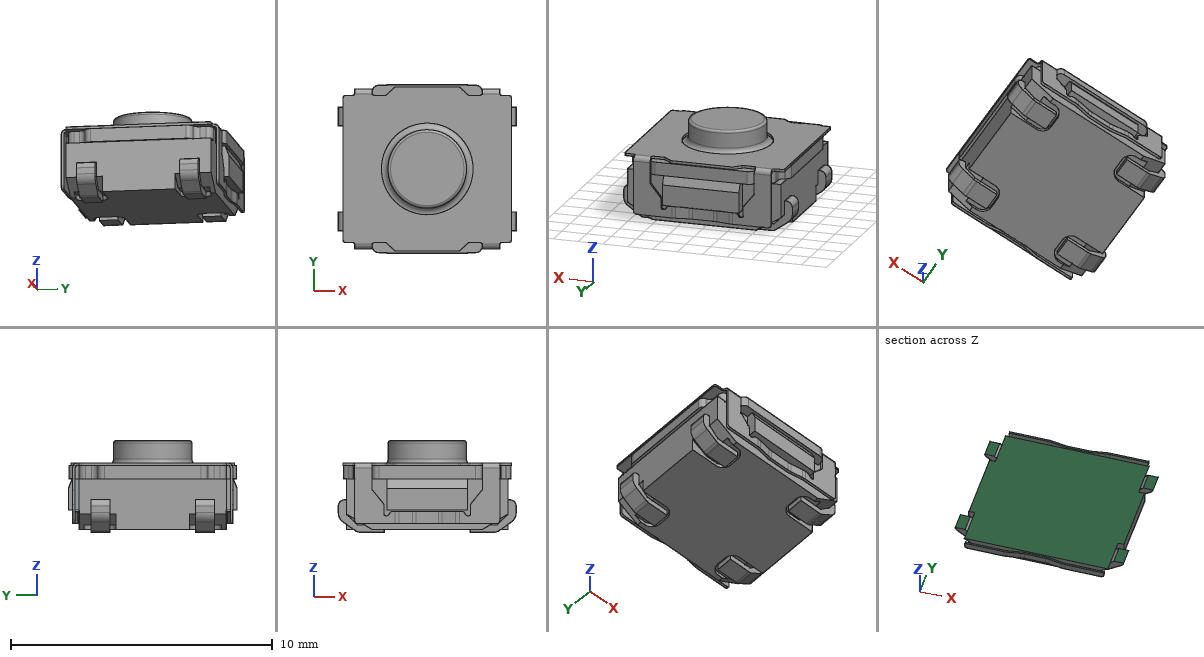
import cadquery as cq
import math

PICK_MARGIN = 0.01
PICK_REACH = 10

TOTAL_WIDTH_X = 6.8
TOTAL_WIDTH_Y = 6.45
TOTAL_HEIGHT = 3.5

BODY_BOTTOM = 0.1
BODY_TOP = 2.04
COVER_TOP = 2.65
SHEET = 0.1
COVER_BOTTOM = COVER_TOP - SHEET

BODY_HALF_X = 3.09
BODY_HALF_Y = 2.81

CORE_HALF_X = 2.81
CORE_ROUND = 0.25
ARM_REACH_X = 3.2
ARM_X_TIP_HALF_WIDTH = 2.035
ARM_X_ROOT_HALF_WIDTH = 2.155
ARM_REACH_Y = 3.2
ARM_Y_HALF_WIDTH = 2.1
ARM_ROUND = 0.25

BOSS_HALF_X = 1.54
BOSS_REACH_Y = TOTAL_WIDTH_Y / 2
BOSS_ROOT_Y = 3.08
BOSS_BOTTOM = 0.85
BOSS_SLOPE_BOTTOM = 1.67

COVER_HALF_X = 3.217
COVER_HALF_Y = BODY_HALF_Y
TAB_ROOT_HALF_X = 1.58
TAB_TIP_HALF_X = 1.235
TAB_REACH_Y = 3.126
COVER_ROUND = 0.09

LEG_OUTER_Y = 3.06
LEG_OUTER_X = 2.77
LEG_INNER_X = ARM_Y_HALF_WIDTH
LEG_BOTTOM = 0.33
LEG_CORNER_ROUND = 0.13
BEND_RADIUS = 2 * SHEET
TAPER_TOP = 1.62
TAPER_BOTTOM = 1.07
FOOT_INNER_X = 1.65
CROSSBAR_TOP = 0.785
CROSSBAR_END_X = 1.4
NOTCH_BOTTOM = 0.63
NOTCH_FLOOR_X = 1.5
NOTCH_ROUND = 0.07
JOG_START_X = 1.15
JOG_END_X = 0.497
JOG_DEPTH = 0.107
JOG_ROUND = 0.9

TERMINAL_REACH_X = TOTAL_WIDTH_X / 2
TERMINAL_TOP = 1.245
TERMINAL_TOP_ROUND = 0.25
TERMINAL_KNEE_Z = 0.52
TERMINAL_KNEE_ROUND = 0.45
TERMINAL_FOOT_ROUND = 0.25
TERMINAL_FOOT_X = 2.66
TERMINAL_END_X = 1.634
TERMINAL_WIDTH = 0.72
TERMINAL_Y = 2.0

UNDERCUT_INNER_Y = 1.408
UNDERCUT_TOP_Z = 0.7
UNDERCUT_END_X = ARM_Y_HALF_WIDTH
RECESS_CEILING = 0.28
RECESS_OUTER_Y = 2.62
RECESS_END_X = 1.5
RECESS_ROUND = 0.4

BUTTON_DIAMETER = 3.0
OPENING_DIAMETER = 3.5
BUTTON_RADIUS = BUTTON_DIAMETER / 2
BUTTON_ROUND = 0.1
OPENING_RADIUS = OPENING_DIAMETER / 2
FLARE_RADIUS = OPENING_RADIUS - BUTTON_RADIUS


def box(half_x, half_y, bottom, top):
    """Block centred on the Z axis between two heights."""
    block = cq.Workplane("XY").box(2 * half_x, 2 * half_y, top - bottom, centered=(True, True, False))
    return block.translate((0, 0, bottom))


def with_mirror(shape, plane):
    """The shape together with its reflection in a plane through the origin."""
    return shape.union(shape.mirror(plane))


def on_four_corners(shape):
    return with_mirror(with_mirror(shape, "YZ"), "XZ")


def symmetric(right_half):
    """Close an outline by adding the reflection of its +X half."""
    return right_half + [(-x, z) for x, z in reversed(right_half)]


def edge_near(shape, corner, normal):
    """The edge along `normal` that passes the given corner of an extruded outline."""
    low = [value - PICK_MARGIN for value in corner]
    high = [value + PICK_MARGIN for value in corner]
    if normal == "Z":
        selector = cq.selectors.BoxSelector((*low, -PICK_REACH), (*high, PICK_REACH))
    else:
        selector = cq.selectors.BoxSelector((low[0], -PICK_REACH, low[1]), (high[0], PICK_REACH, high[1]))
    return shape.edges(f"|{normal}").edges(selector)


def round_four(shape, x, y, radius):
    """Round the upright edges at the four positions (+-x, +-y)."""
    for corner in ((x, y), (-x, y), (x, -y), (-x, -y)):
        shape = edge_near(shape, corner, "Z").fillet(radius)
    return shape


def make_undercut():
    """Sloping undercut and shallow foot recess at the +X +Y corner."""
    slope = (
        cq.Workplane("XZ", origin=(0, BODY_HALF_Y, 0))
        .polyline([
            (UNDERCUT_END_X, BODY_BOTTOM),
            (BODY_HALF_X, BODY_BOTTOM),
            (BODY_HALF_X, UNDERCUT_TOP_Z),
        ])
        .close()
        .extrude(BODY_HALF_Y - UNDERCUT_INNER_Y)
    )
    recess = (
        cq.Workplane("XY", origin=(0, 0, BODY_BOTTOM))
        .moveTo(RECESS_END_X, UNDERCUT_INNER_Y)
        .lineTo(BODY_HALF_X, UNDERCUT_INNER_Y)
        .lineTo(BODY_HALF_X, RECESS_OUTER_Y)
        .lineTo(RECESS_END_X, RECESS_OUTER_Y)
        .close()
        .extrude(RECESS_CEILING - BODY_BOTTOM)
        .edges("|Z and <X")
        .fillet(RECESS_ROUND)
    )
    return slope.union(recess)


def make_boss():
    """Boss on the +Y side with a sloping upper face."""
    return (
        cq.Workplane("YZ", origin=(-BOSS_HALF_X, 0, 0))
        .polyline([
            (0, BOSS_BOTTOM),
            (BOSS_REACH_Y, BOSS_BOTTOM),
            (BOSS_REACH_Y, BOSS_SLOPE_BOTTOM),
            (BOSS_ROOT_Y, BODY_TOP),
            (0, BODY_TOP),
        ])
        .close()
        .extrude(2 * BOSS_HALF_X)
    )


def make_body():
    body = box(BODY_HALF_X, BODY_HALF_Y, BODY_BOTTOM, BODY_TOP)
    body = body.cut(on_four_corners(make_undercut()))
    return body.union(with_mirror(make_boss(), "XZ"))


def make_frame():
    """Upper frame with rounded arms; the X arms taper and blend into the core."""
    arm_tip = (ARM_REACH_X, ARM_X_TIP_HALF_WIDTH)
    arm_root = (CORE_HALF_X, ARM_X_ROOT_HALF_WIDTH)
    core_corner = (CORE_HALF_X, BODY_HALF_Y)
    right_half = [(x, -y) for x, y in (core_corner, arm_root, arm_tip)] + [arm_tip, arm_root, core_corner]
    frame = (
        cq.Workplane("XY", origin=(0, 0, BODY_TOP))
        .polyline(symmetric(right_half))
        .close()
        .extrude(COVER_BOTTOM - BODY_TOP)
    )
    frame = frame.union(box(ARM_Y_HALF_WIDTH, ARM_REACH_Y, BODY_TOP, COVER_BOTTOM))
    frame = round_four(frame, *core_corner, CORE_ROUND)
    for x, y in (arm_tip, arm_root, (ARM_Y_HALF_WIDTH, ARM_REACH_Y)):
        frame = round_four(frame, x, y, ARM_ROUND)
    return frame


def make_cover_plate():
    """Flat top of the cover with a tapered tab on the +Y and -Y sides and a round opening."""
    tab = [(TAB_ROOT_HALF_X, COVER_HALF_Y), (TAB_TIP_HALF_X, TAB_REACH_Y)]
    tab_outline = symmetric([(TAB_ROOT_HALF_X, 0)] + tab)
    tab_solid = cq.Workplane("XY", origin=(0, 0, COVER_BOTTOM)).polyline(tab_outline).close().extrude(SHEET)
    plate = box(COVER_HALF_X, COVER_HALF_Y, COVER_BOTTOM, COVER_TOP)
    plate = plate.union(with_mirror(tab_solid, "XZ"))
    for x, y in [(COVER_HALF_X, COVER_HALF_Y)] + tab:
        plate = round_four(plate, x, y, COVER_ROUND)
    opening = cq.Workplane("XY").circle(OPENING_RADIUS).extrude(COVER_TOP)
    return plate.cut(opening)


def make_leg_bend():
    """Quarter-round bend joining the +X +Y leg to the cover plate, flared where it meets the plate."""
    bend_start_y = LEG_OUTER_Y - BEND_RADIUS
    bend_end_z = COVER_TOP - BEND_RADIUS
    inner_radius = BEND_RADIUS - SHEET
    diagonal = math.sqrt(0.5)

    def on_arc(radius):
        return (bend_start_y + radius * diagonal, bend_end_z + radius * diagonal)

    plate_edge_y = COVER_HALF_Y - COVER_ROUND
    bent_sheet = (
        cq.Workplane("YZ", origin=(LEG_INNER_X - COVER_ROUND, 0, 0))
        .moveTo(plate_edge_y, COVER_TOP)
        .lineTo(bend_start_y, COVER_TOP)
        .threePointArc(on_arc(BEND_RADIUS), (LEG_OUTER_Y, bend_end_z))
        .lineTo(LEG_OUTER_Y - SHEET, bend_end_z)
        .threePointArc(on_arc(inner_radius), (bend_start_y, COVER_BOTTOM))
        .lineTo(plate_edge_y, COVER_BOTTOM)
        .close()
        .extrude(LEG_OUTER_X - LEG_INNER_X + 2 * COVER_ROUND)
    )
    plate_strip = box(COVER_HALF_X, COVER_HALF_Y, bend_end_z, COVER_TOP)
    leg_strip = (
        cq.Workplane("XY", origin=(0, 0, bend_end_z))
        .moveTo(LEG_INNER_X, 0)
        .lineTo(LEG_OUTER_X, 0)
        .lineTo(LEG_OUTER_X, LEG_OUTER_Y)
        .lineTo(LEG_INNER_X, LEG_OUTER_Y)
        .close()
        .extrude(BEND_RADIUS)
    )
    flared_plan = plate_strip.union(leg_strip)
    for x in (LEG_INNER_X, LEG_OUTER_X):
        flared_plan = edge_near(flared_plan, (x, COVER_HALF_Y), "Z").fillet(COVER_ROUND)
    return bent_sheet.intersect(flared_plan)


def make_jogged_sheet():
    """Upright sheet on the +Y side whose middle is set back behind the boss face."""
    outer = symmetric([
        (LEG_OUTER_X, LEG_OUTER_Y),
        (JOG_START_X, LEG_OUTER_Y),
        (JOG_END_X, LEG_OUTER_Y - JOG_DEPTH),
    ])
    inner = [(x, y - SHEET) for x, y in reversed(outer)]
    sheet = (
        cq.Workplane("XY", origin=(0, 0, LEG_BOTTOM))
        .polyline(outer + inner)
        .close()
        .extrude(COVER_TOP - BEND_RADIUS - LEG_BOTTOM)
    )
    for corner in outer[1:-1] + inner[1:-1]:
        sheet = edge_near(sheet, corner, "Z").fillet(JOG_ROUND)
    return sheet


def make_leg_pair():
    """Two legs and their crossbar on the +Y side."""
    notch = [
        (FOOT_INNER_X, NOTCH_BOTTOM),
        (NOTCH_FLOOR_X, NOTCH_BOTTOM),
        (CROSSBAR_END_X, CROSSBAR_TOP),
    ]
    outline = symmetric([
        (LEG_OUTER_X, LEG_BOTTOM),
        (LEG_OUTER_X, COVER_TOP - BEND_RADIUS),
        (LEG_INNER_X, COVER_TOP - BEND_RADIUS),
        (LEG_INNER_X, TAPER_TOP),
        (FOOT_INNER_X, TAPER_BOTTOM),
    ] + notch)
    silhouette = cq.Workplane("XZ").polyline(outline).close().extrude(-2 * LEG_OUTER_Y)
    rounds = [(LEG_OUTER_X, LEG_BOTTOM, LEG_CORNER_ROUND)]
    rounds += [(x, z, NOTCH_ROUND) for x, z in notch]
    for x, z, radius in rounds:
        for corner in ((x, z), (-x, z)):
            silhouette = edge_near(silhouette, corner, "Y").fillet(radius)
    return make_jogged_sheet().intersect(silhouette)


def make_cover():
    cover = make_cover_plate()
    cover = cover.union(on_four_corners(make_leg_bend()))
    return cover.union(with_mirror(make_leg_pair(), "XZ"))


def make_terminal():
    """Bent terminal at the +X +Y corner, ending in a flat foot."""
    terminal = (
        cq.Workplane("XZ", origin=(0, TERMINAL_Y + TERMINAL_WIDTH / 2, 0))
        .polyline([
            (TERMINAL_END_X, 0),
            (TERMINAL_FOOT_X, 0),
            (TERMINAL_REACH_X, TERMINAL_KNEE_Z),
            (TERMINAL_REACH_X, TERMINAL_TOP),
            (BODY_HALF_X, TERMINAL_TOP),
            (BODY_HALF_X, UNDERCUT_TOP_Z),
            (TERMINAL_FOOT_X, RECESS_CEILING),
            (TERMINAL_END_X, RECESS_CEILING),
        ])
        .close()
        .extrude(TERMINAL_WIDTH)
    )
    for x, z, radius in (
        (TERMINAL_REACH_X, TERMINAL_TOP, TERMINAL_TOP_ROUND),
        (TERMINAL_REACH_X, TERMINAL_KNEE_Z, TERMINAL_KNEE_ROUND),
        (TERMINAL_FOOT_X, 0, TERMINAL_FOOT_ROUND),
    ):
        terminal = edge_near(terminal, (x, z), "Y").fillet(radius)
    return terminal


def make_button():
    """Round button with a concave flare at its root, on top of the frame."""
    flare_center_x = OPENING_RADIUS
    flare_center_z = COVER_BOTTOM + FLARE_RADIUS
    diagonal = FLARE_RADIUS * math.sqrt(0.5)
    button = (
        cq.Workplane("XZ")
        .moveTo(0, BODY_TOP)
        .lineTo(flare_center_x, BODY_TOP)
        .lineTo(flare_center_x, COVER_BOTTOM)
        .threePointArc(
            (flare_center_x - diagonal, flare_center_z - diagonal),
            (BUTTON_RADIUS, flare_center_z),
        )
        .lineTo(BUTTON_RADIUS, TOTAL_HEIGHT)
        .lineTo(0, TOTAL_HEIGHT)
        .close()
        .revolve(360, (0, 0, 0), (0, 1, 0))
    )
    return button.faces(">Z").edges().fillet(BUTTON_ROUND)


result = make_body().union(make_frame()).union(make_cover())
result = result.union(on_four_corners(make_terminal())).union(make_button())